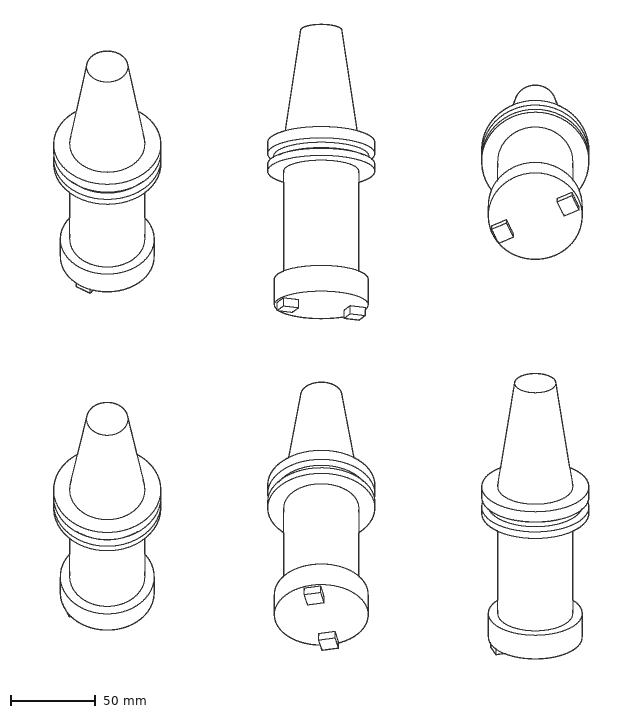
import cadquery as cq

total_height = 174.8
key_height = 5.0
head_top = 21.0
flange_bottom = 87.7
groove_lower_edge = 92.1
groove_upper_edge = 98.5
flange_top = 105.5
gauge_plane = 106.6

head_diameter = 55.5
body_diameter = 44.4
flange_diameter = 63.5
groove_diameter = 56.3
taper_ratio = 7 / 24

groove_wall_height = 1.5
key_width = 10.0
key_length = 9.6
key_outer_span = 52.0


def make_revolved_body():
    """Solid of revolution: head, body, grooved flange and tapered shank."""
    head_radius = head_diameter / 2
    body_radius = body_diameter / 2
    flange_radius = flange_diameter / 2
    groove_radius = groove_diameter / 2
    tip_radius = body_radius - taper_ratio * (total_height - gauge_plane) / 2
    profile = [
        (0, key_height),
        (head_radius, key_height),
        (head_radius, head_top),
        (body_radius, head_top),
        (body_radius, flange_bottom),
        (flange_radius, flange_bottom),
        (flange_radius, groove_lower_edge),
        (groove_radius, groove_lower_edge + groove_wall_height),
        (groove_radius, groove_upper_edge - groove_wall_height),
        (flange_radius, groove_upper_edge),
        (flange_radius, flange_top),
        (body_radius, flange_top),
        (body_radius, gauge_plane),
        (tip_radius, total_height),
        (0, total_height),
    ]
    return cq.Workplane("XZ").polyline(profile).close().revolve(360, (0, 0), (0, 1))


def make_drive_keys():
    """Two rectangular keys on opposite sides, reaching up to the head's lower face."""
    key_offset = (key_outer_span - key_length) / 2
    return (
        cq.Workplane("XY")
        .pushPoints([(0, -key_offset), (0, key_offset)])
        .rect(key_width, key_length)
        .extrude(key_height)
    )


result = make_revolved_body().union(make_drive_keys())